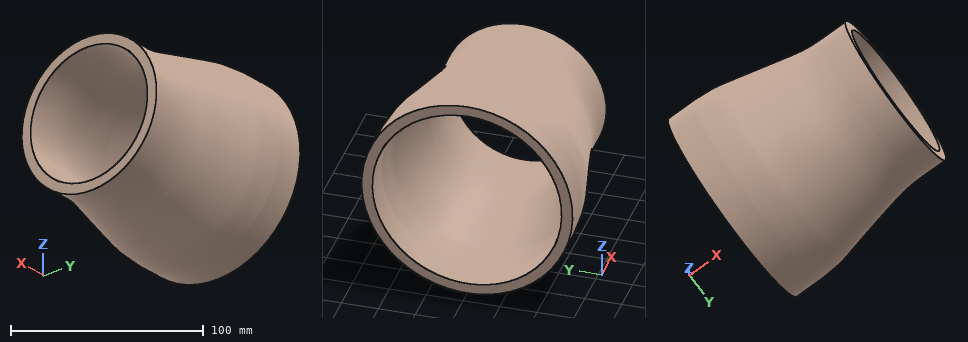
import cadquery as cq
import math

length = 104.8
large_radius = 57.2
small_radius = 44.5
wall = 6.0
collar_length = 16.7
bend_length = 16.7

bend_start = collar_length
cone_start = bend_start + bend_length
cone_end = length - cone_start
bend_end = length - collar_length

radius_drop = large_radius - small_radius
cone_length = cone_end - cone_start
solver_steps = 30
half_tangent = 0.0
for _ in range(solver_steps):
    tangent_factor = 2 / (1 - half_tangent**2)
    half_tangent = radius_drop / (cone_length * tangent_factor + 2 * bend_length)
cone_angle = 2 * math.atan(half_tangent)
bend_drop = bend_length * half_tangent


def reducer_body(inset):
    """Solid whose surface lies a constant distance inside the outer surface."""
    start_radius = large_radius - inset
    end_radius = small_radius - inset
    axial_shift = inset * math.sin(cone_angle)
    radial_shift = inset * math.cos(cone_angle)
    cone_large_end = (cone_start - axial_shift, large_radius - bend_drop - radial_shift)
    cone_small_end = (cone_end - axial_shift, small_radius + bend_drop - radial_shift)
    return (
        cq.Workplane("XZ")
        .lineTo(0, start_radius)
        .lineTo(bend_start, start_radius)
        .tangentArcPoint(cone_large_end, relative=False)
        .lineTo(*cone_small_end)
        .tangentArcPoint((bend_end, end_radius), relative=False)
        .lineTo(length, end_radius)
        .lineTo(length, 0)
        .close()
        .revolve(360, (0, 0, 0), (1, 0, 0))
    )


outside = reducer_body(0)
bore = reducer_body(wall)
result = outside.cut(bore)